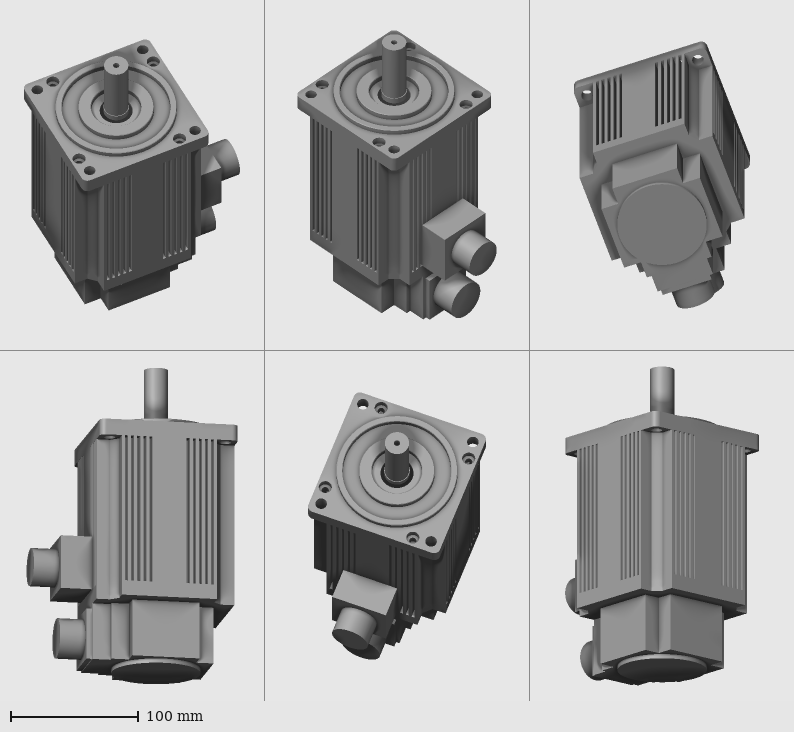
import cadquery as cq
import math


BODY_WIDTH = 110.0
FLANGE_THICKNESS = 12.7
FLANGE_CORNER_RADIUS = 5.0
PILOT_DIAMETER = 95.0
PILOT_HEIGHT = 4.5
PILOT_RECESS_DIAMETER = 85.0
PILOT_RECESS_DEPTH = 5.0
BOSS_DIAMETER = 59.0
BOSS_BORE_DIAMETER = 39.3
RIM_CHAMFER = 0.5
SHAFT_OPENING_DIAMETER = 25.9
FLANGE_WEB_THICKNESS = 2.0

MOUNTING_HOLE_DIAMETER = 9.0
MOUNTING_HOLE_SPACING = 92.0
SCREW_HOLE_DIAMETER = 5.5
SCREW_HEAD_DIAMETER = 10.2
SCREW_HEAD_DEPTH = 5.9
SCREW_OFFSET_LONG = 48.0
SCREW_OFFSET_SHORT = 31.5

SHAFT_DIAMETER = 19.0
SHAFT_LENGTH = 50.0
COLLAR_DIAMETER = 20.0
CENTER_HOLE_DIAMETER = 5.0
CENTER_HOLE_DEPTH = 9.8
CENTER_HOLE_TIP_ANGLE = 120.0

STATOR_LENGTH = 116.9
STATOR_BORE_DIAMETER = 92.7
NOTCH_SIZE = 17.0
NOTCH_CHAMFER = 6.0
GROOVE_COUNT = 5
GROOVE_DEPTH = 7.3
FACE_FLAT_WIDTH = 27.3

REAR_PLATE_THICKNESS = 11.7
COVER_WIDTH = 81.5
COVER_NOTCH_SIZE = 14.0
COVER_LENGTH = 45.0
COVER_SOCKET_WIDTH = 45.9
END_DISC_DIAMETER = 70.0
END_DISC_HEIGHT = 3.5

POWER_BLOCK_WIDTH = 45.0
POWER_BLOCK_LENGTH = 25.0
POWER_BLOCK_HEIGHT = 42.5
POWER_BLOCK_OFFSET = 1.5
POWER_PLUG_DIAMETER = 30.0
PLUG_LENGTH = 20.0
ENCODER_PLATE_WIDTH = 40.5
ENCODER_PLATE_THICKNESS = 4.5
ENCODER_PLUG_DIAMETER = 31.7
ENCODER_CONNECTOR_DROP = 1.5

HALF_WIDTH = BODY_WIDTH / 2
HALF_FLAT = FACE_FLAT_WIDTH / 2
GROOVE_WIDTH = (HALF_WIDTH - NOTCH_SIZE - HALF_FLAT) / (2 * GROOVE_COUNT)
GROOVE_PITCH = 2 * GROOVE_WIDTH
PILOT_TOP = PILOT_HEIGHT
RECESS_FLOOR = PILOT_TOP - PILOT_RECESS_DEPTH
WEB_UNDERSIDE = RECESS_FLOOR - FLANGE_WEB_THICKNESS
FLANGE_BACK = -FLANGE_THICKNESS
STATOR_BACK = FLANGE_BACK - STATOR_LENGTH
REAR_PLATE_BACK = STATOR_BACK - REAR_PLATE_THICKNESS
COVER_BACK = REAR_PLATE_BACK - COVER_LENGTH
SHAFT_TOP = PILOT_TOP + SHAFT_LENGTH


def cylinder(diameter, bottom, top):
    """Upright cylinder on the motor axis."""
    return cq.Workplane("XY", origin=(0, 0, bottom)).circle(diameter / 2).extrude(top - bottom)


def side_cylinder(diameter, length, x, y, z):
    """Cylinder that starts at the given point and points to +Y."""
    return cq.Workplane("XZ", origin=(x, y, z)).circle(diameter / 2).extrude(-length)


def side_block(width, length, height, x, y, z):
    """Block centred on x and z that starts at y and reaches to +Y."""
    return (
        cq.Workplane("XY", origin=(x, y, z))
        .box(width, length, height, centered=(True, False, True))
    )


def notched_prism(width, notch, bottom, top):
    """Square prism with a square notch along each of its four upright edges."""
    height = top - bottom
    prism = cq.Workplane("XY", origin=(0, 0, bottom)).rect(width, width).extrude(height)
    notches = (
        cq.Workplane("XY", origin=(0, 0, bottom))
        .rect(width, width, forConstruction=True)
        .vertices()
        .rect(2 * notch, 2 * notch)
        .extrude(height)
    )
    return prism.cut(notches)


def housing_prism(bottom, top):
    """Notched square prism whose notches have a sloped inner corner."""
    inner = HALF_WIDTH - NOTCH_SIZE
    inner_corners = cq.selectors.BoxSelector(
        (-inner - NOTCH_CHAMFER, -inner - NOTCH_CHAMFER, bottom),
        (inner + NOTCH_CHAMFER, inner + NOTCH_CHAMFER, top),
    )
    prism = notched_prism(BODY_WIDTH, NOTCH_SIZE, bottom, top)
    return prism.edges("|Z").edges(inner_corners).chamfer(NOTCH_CHAMFER)


def make_flange():
    plate = (
        cq.Workplane("XY", origin=(0, 0, FLANGE_BACK))
        .rect(BODY_WIDTH, BODY_WIDTH)
        .extrude(FLANGE_THICKNESS)
        .edges("|Z")
        .fillet(FLANGE_CORNER_RADIUS)
    )
    flange = plate.union(cylinder(PILOT_DIAMETER, FLANGE_BACK, PILOT_TOP))

    recess = cylinder(PILOT_RECESS_DIAMETER, RECESS_FLOOR, PILOT_TOP)
    boss = cylinder(BOSS_DIAMETER, RECESS_FLOOR, PILOT_TOP)
    boss_bore = cylinder(BOSS_BORE_DIAMETER, RECESS_FLOOR, PILOT_TOP)
    flange = flange.cut(recess.cut(boss)).cut(boss_bore)

    flange = flange.faces(">Z").edges().chamfer(RIM_CHAMFER)

    flange = flange.cut(cylinder(SHAFT_OPENING_DIAMETER, WEB_UNDERSIDE, RECESS_FLOOR))
    flange = flange.cut(cylinder(STATOR_BORE_DIAMETER, FLANGE_BACK, WEB_UNDERSIDE))

    mounting_face = cq.Workplane("XY")
    mounting_holes = (
        mounting_face.rect(MOUNTING_HOLE_SPACING, MOUNTING_HOLE_SPACING, forConstruction=True)
        .vertices()
        .circle(MOUNTING_HOLE_DIAMETER / 2)
        .extrude(-FLANGE_THICKNESS)
    )
    screw_points = [
        (SCREW_OFFSET_LONG, SCREW_OFFSET_SHORT),
        (-SCREW_OFFSET_SHORT, SCREW_OFFSET_LONG),
        (-SCREW_OFFSET_LONG, -SCREW_OFFSET_SHORT),
        (SCREW_OFFSET_SHORT, -SCREW_OFFSET_LONG),
    ]
    screws = mounting_face.pushPoints(screw_points)
    screw_holes = screws.circle(SCREW_HOLE_DIAMETER / 2).extrude(-FLANGE_THICKNESS)
    screw_heads = screws.circle(SCREW_HEAD_DIAMETER / 2).extrude(-SCREW_HEAD_DEPTH)
    return flange.cut(mounting_holes).cut(screw_holes).cut(screw_heads)


def make_shaft():
    shaft = cylinder(SHAFT_DIAMETER, PILOT_TOP, SHAFT_TOP)
    shaft = shaft.union(cylinder(COLLAR_DIAMETER, RECESS_FLOOR, PILOT_TOP))

    hole_radius = CENTER_HOLE_DIAMETER / 2
    hole_bottom = SHAFT_TOP - CENTER_HOLE_DEPTH
    tip_length = hole_radius / math.tan(math.radians(CENTER_HOLE_TIP_ANGLE / 2))
    center_hole = (
        cq.Workplane("XZ")
        .moveTo(0, SHAFT_TOP)
        .lineTo(hole_radius, SHAFT_TOP)
        .lineTo(hole_radius, hole_bottom)
        .lineTo(0, hole_bottom - tip_length)
        .close()
        .revolve()
    )
    return shaft.cut(center_hole)


def make_stator():
    stator = housing_prism(STATOR_BACK, FLANGE_BACK)

    offsets = [HALF_FLAT + GROOVE_WIDTH / 2 + i * GROOVE_PITCH for i in range(GROOVE_COUNT)]
    groove_points = [(side * x, HALF_WIDTH) for side in (-1, 1) for x in offsets]
    grooves = (
        cq.Workplane("XY", origin=(0, 0, STATOR_BACK))
        .pushPoints(groove_points)
        .rect(GROOVE_WIDTH, 2 * GROOVE_DEPTH)
        .extrude(STATOR_LENGTH)
    )
    for angle in (0, 90, 180, 270):
        stator = stator.cut(grooves.rotate((0, 0, 0), (0, 0, 1), angle))
    return stator.cut(cylinder(STATOR_BORE_DIAMETER, STATOR_BACK, FLANGE_BACK))


def make_rear_plate():
    return housing_prism(REAR_PLATE_BACK, STATOR_BACK)


def make_encoder_cover():
    cover = notched_prism(COVER_WIDTH, COVER_NOTCH_SIZE, COVER_BACK, REAR_PLATE_BACK)
    middle = (COVER_BACK + REAR_PLATE_BACK) / 2
    socket = side_block(COVER_SOCKET_WIDTH, HALF_WIDTH, COVER_LENGTH, 0, 0, middle)
    end_disc = cylinder(END_DISC_DIAMETER, COVER_BACK - END_DISC_HEIGHT, COVER_BACK)
    return cover.union(socket).union(end_disc)


def make_power_connector():
    x = POWER_BLOCK_OFFSET
    z = STATOR_BACK + POWER_BLOCK_HEIGHT / 2
    block = side_block(POWER_BLOCK_WIDTH, POWER_BLOCK_LENGTH, POWER_BLOCK_HEIGHT, x, HALF_WIDTH, z)
    plug_start = HALF_WIDTH + POWER_BLOCK_LENGTH
    return block.union(side_cylinder(POWER_PLUG_DIAMETER, PLUG_LENGTH, x, plug_start, z))


def make_encoder_connector():
    z = (COVER_BACK + REAR_PLATE_BACK) / 2 - ENCODER_CONNECTOR_DROP
    plate = side_block(
        ENCODER_PLATE_WIDTH, ENCODER_PLATE_THICKNESS, ENCODER_PLATE_WIDTH, 0, HALF_WIDTH, z
    )
    plug_start = HALF_WIDTH + ENCODER_PLATE_THICKNESS
    return plate.union(side_cylinder(ENCODER_PLUG_DIAMETER, PLUG_LENGTH, 0, plug_start, z))


flange = make_flange()
shaft = make_shaft()
stator = make_stator()
rear_plate = make_rear_plate()
encoder_cover = make_encoder_cover()
power_connector = make_power_connector()
encoder_connector = make_encoder_connector()

result = cq.Compound.makeCompound(
    [
        flange.val(),
        shaft.val(),
        stator.val(),
        rear_plate.val(),
        encoder_cover.val(),
        power_connector.val(),
        encoder_connector.val(),
    ]
)